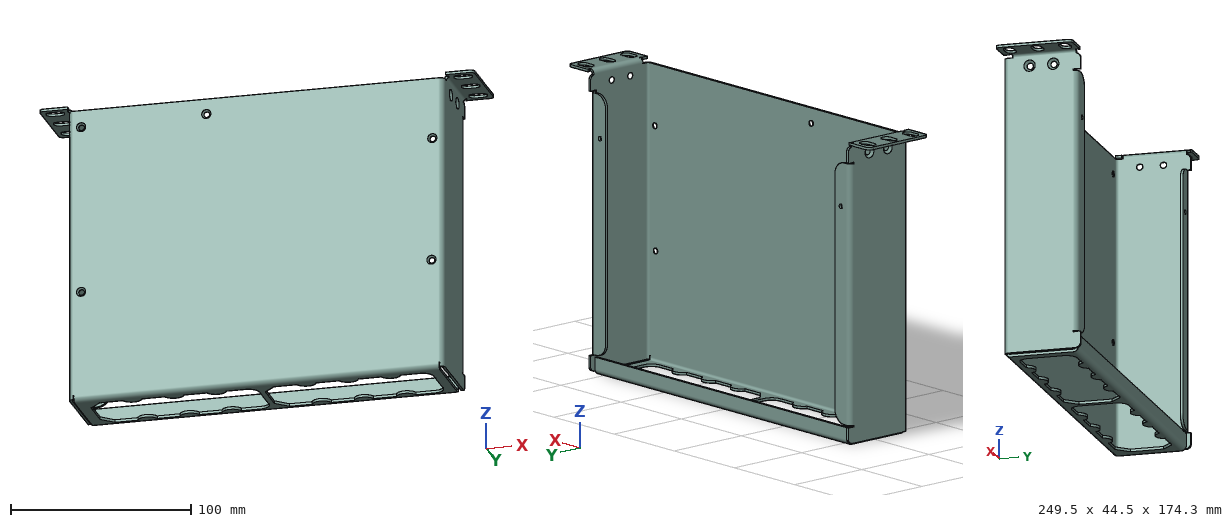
import cadquery as cq


width = 249.5
depth = 44.5
height = 174.3
sheet = 1.5
bend_radius = 3.0
half_width = width / 2
front_face = -depth / 2
rear_limit = depth / 2
floor_face = -height / 2
ear_face = height / 2

wall_face = 107.7
wall_inner = wall_face - sheet
wall_top = ear_face - bend_radius
wall_bottom = floor_face + sheet
tab_height = 9.2
tab_corner_radius = 3.0
relief_gap = 0.7

flange_face = 21.0
flange_width = 12.5
flange_corner_radius = 7.5
flange_top = wall_top - tab_height - relief_gap
flange_bottom = wall_bottom + tab_height + relief_gap
flange_hole_diameter = 2.5
flange_hole_x = 100.0
flange_hole_z = 49.0

floor_half_width = wall_face - bend_radius
lip_face = 20.2
lip_height = 10.0
corner_relief_width = 0.5
corner_relief_height = 2.2

ear_front = -22.0
ear_bend_front = -17.0
ear_bend_rear = 19.7
ear_slit = 1.5
ear_flat_edge = wall_inner + bend_radius
ear_inner_end = wall_face + relief_gap
ear_corner_radius = 2.5
ear_slot_length = 10.5
ear_slot_width = 6.0
ear_slot_x = 117.0
ear_slot_pitch = 16.0
ear_mid_y = (ear_front + rear_limit) / 2

screw_diameter = 3.2
front_sink_diameter = 5.2
side_sink_diameter = 6.5
sink_angle = 90
front_holes = [(-100.5, 74.3), (-28.7, 75.3), (101.0, 49.0), (-100.5, -22.7), (100.5, -22.7)]
side_hole_y = [6.5, -7.2]
side_hole_z = 78.8

window_width = 96.8
window_front = -17.0
window_rear = 15.7
window_chamfer = 6.7
window_fillet = 6.2
window_centers = [-49.6, 50.5]
scallop_radius = 6.0
scallop_depth = 3.7
scallop_pitch = 24.2
scallop_shift = 1.2


def block(x_range, y_range, z_range):
    """Box between the given limits."""
    size = [high - low for low, high in (x_range, y_range, z_range)]
    return cq.Workplane("XY").box(*size, centered=False).translate((x_range[0], y_range[0], z_range[0]))


def folded_angle(plane, corner, leg_u, leg_v, length):
    """L-shaped sheet with a round bend; legs are signed lengths from the outer corner of the bend."""
    sign_u = 1 if leg_u > 0 else -1
    sign_v = 1 if leg_v > 0 else -1
    inner_radius = bend_radius - sheet
    diagonal = 0.5 ** 0.5

    def at(u, v):
        return (sign_u * u, sign_v * v)

    outer_mid = bend_radius * (1 - diagonal)
    inner_mid = bend_radius - inner_radius * diagonal
    end_u, end_v = abs(leg_u), abs(leg_v)
    return (
        cq.Workplane(plane, origin=corner)
        .moveTo(*at(bend_radius, 0))
        .lineTo(*at(end_u, 0))
        .lineTo(*at(end_u, sheet))
        .lineTo(*at(bend_radius, sheet))
        .threePointArc(at(inner_mid, inner_mid), at(sheet, bend_radius))
        .lineTo(*at(sheet, end_v))
        .lineTo(*at(0, end_v))
        .lineTo(*at(0, bend_radius))
        .threePointArc(at(outer_mid, outer_mid), at(bend_radius, 0))
        .close()
        .extrude(length)
    )


def side_wall():
    """Left wall with its front bend, rear corner tabs and rear flange."""
    flange_bend_start = flange_face - bend_radius
    wall = folded_angle(
        "XY",
        (-wall_face, front_face, wall_bottom),
        2 * bend_radius,
        flange_bend_start - front_face,
        wall_top - wall_bottom,
    )
    relief = block(
        (-floor_half_width - corner_relief_width, 0),
        (front_face, front_face + bend_radius),
        (wall_bottom, wall_bottom + corner_relief_height),
    )
    wall = wall.cut(relief)

    tab_x = (-wall_face, -wall_inner)
    tab_y = (flange_bend_start, rear_limit)
    top_tab = block(tab_x, tab_y, (wall_top - tab_height, wall_top))
    bottom_tab = block(tab_x, tab_y, (wall_bottom, wall_bottom + tab_height))
    top_tab = top_tab.edges(">Y and >Z").fillet(tab_corner_radius)
    bottom_tab = bottom_tab.edges(">Y and <Z").fillet(tab_corner_radius)

    flange = folded_angle(
        "XY",
        (-wall_face, flange_face, flange_bottom),
        flange_width,
        -2 * bend_radius,
        flange_top - flange_bottom,
    )
    flange = flange.edges("|Y and >X").fillet(flange_corner_radius)
    flange_hole = (
        cq.Workplane("XZ", origin=(-flange_hole_x, rear_limit, flange_hole_z))
        .circle(flange_hole_diameter / 2)
        .extrude(2 * bend_radius)
    )
    return wall.union(top_tab).union(bottom_tab).union(flange.cut(flange_hole))


def rack_ear():
    """Left ear, folded outward from the top of the wall and slotted for rack screws."""
    bend = folded_angle(
        "XZ",
        (-wall_inner, ear_bend_rear, ear_face),
        wall_inner - half_width,
        -2 * bend_radius,
        ear_bend_rear - ear_bend_front,
    )
    plate_z = (ear_face - sheet, ear_face)
    plate = block((-half_width, -ear_inner_end), (ear_front, rear_limit), plate_z)
    plate = plate.edges("|Z and <X").fillet(ear_corner_radius)
    bend_clearance = block(
        (-ear_flat_edge, -ear_inner_end),
        (ear_bend_front - ear_slit, ear_bend_rear + ear_slit),
        plate_z,
    )
    plate = plate.cut(bend_clearance)
    slots = (
        cq.Workplane("XY", origin=(-ear_slot_x, ear_mid_y, ear_face - sheet))
        .rarray(2.5, ear_slot_pitch, 1, 3)
        .slot2D(ear_slot_length, ear_slot_width)
        .extrude(sheet)
    )
    return bend.union(plate).cut(slots)


def front_and_floor():
    """Front plate folded into the floor, and the floor folded up into the rear lip."""
    corner_x = -floor_half_width
    span = 2 * floor_half_width
    front = folded_angle("YZ", (corner_x, front_face, floor_face), depth / 2, wall_top - floor_face, span)
    lip = folded_angle("YZ", (corner_x, lip_face, floor_face), -depth / 2, lip_height, span)
    return front.union(lip)


def floor_window(center_x):
    """Cutter for one window: chamfered left corners, round right corners, three scallops per long edge."""
    left = center_x - window_width / 2
    window = block(
        (left, left + window_width), (window_front, window_rear), (floor_face, floor_face + sheet)
    )
    window = window.edges("|Z and <X").chamfer(window_chamfer)
    window = window.edges("|Z and >X").fillet(window_fillet)
    scallop_offset = scallop_radius - scallop_depth
    for index in (-1, 0, 1):
        scallop_x = center_x + scallop_shift + index * scallop_pitch
        for scallop_y in (window_front - scallop_offset, window_rear + scallop_offset):
            scallop = (
                cq.Workplane("XY", origin=(scallop_x, scallop_y, floor_face))
                .circle(scallop_radius)
                .extrude(sheet)
            )
            window = window.cut(scallop)
    return window


def countersink(body, face, points, sink_diameter):
    """Drill screw holes through one sheet, sunk from the given face plane."""
    return (
        cq.Workplane(face)
        .add(body)
        .pushPoints(points)
        .cskHole(screw_diameter, sink_diameter, sink_angle, sheet)
    )


left_wall_plane = cq.Plane(origin=(-wall_face, 0, 0), xDir=(0, -1, 0), normal=(-1, 0, 0))
front_plane = cq.Plane(origin=(0, front_face, 0), xDir=(1, 0, 0), normal=(0, -1, 0))

left_side = side_wall().union(rack_ear())
side_holes = [(-y, side_hole_z) for y in side_hole_y]
left_side = countersink(left_side, left_wall_plane, side_holes, side_sink_diameter)

result = front_and_floor().union(left_side).union(left_side.mirror("YZ"))
for window_center in window_centers:
    result = result.cut(floor_window(window_center))
result = countersink(result, front_plane, front_holes, front_sink_diameter)